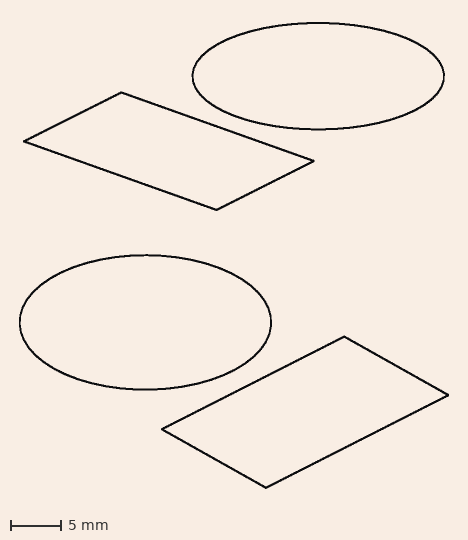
import cadquery as cq

total_length = 43.0
width = 25.0
thickness = 0.05
gap = 3.0

disc_radius = width / 2
sheet_depth = total_length - width - gap
disc_center_y = sheet_depth + gap + disc_radius


def make_sheet():
    """Thin rectangular sheet, front edge on the X axis and centred in X."""
    return cq.Workplane("XY").box(width, sheet_depth, thickness, centered=(True, False, False))


def make_disc():
    """Thin round disc behind the sheet, on the same base plane."""
    return cq.Workplane("XY").center(0, disc_center_y).circle(disc_radius).extrude(thickness)


sheet = make_sheet()
disc = make_disc()

result = cq.Compound.makeCompound([sheet.val(), disc.val()])